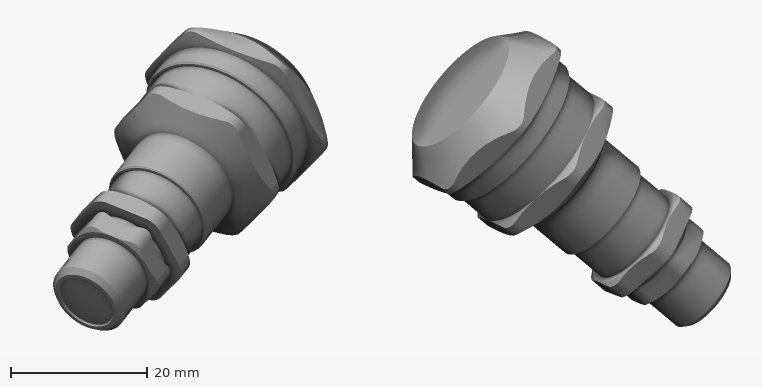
import cadquery as cq
import math


CAP_FLATS = 27.0
CAP_BACK_RADIUS = 10.2
CAP_BACK_ANGLE = 45.0
CAP_FRONT_ANGLE = 18.0
CAP_END = 6.7

COLLAR_DIAMETER = 25.5
COLLAR_END = 10.2
COLLAR_CHAMFER = 0.25
BARREL_DIAMETER = 24.0
BARREL_END = 15.75

BODY_HEX_FLATS = 24.0
BODY_HEX_END = 21.2

SLEEVE_DIAMETER = 16.6
SLEEVE_END = 29.1
SLEEVE_CHAMFER = 0.2
NECK_DIAMETER = 15.2

FLANGE_FLATS = 17.0
FLANGE_START = 35.5
FLANGE_END = 38.5

RING_TUBE_RADIUS = 0.8
RING_OUTER_RADIUS = 7.0

NUT_FLATS = 14.0
NUT_EDGE_ROUND = 2.2
NUT_SEAT_FLOOR = 39.95
NUT_SEAT_FLOOR_RADIUS = 6.8
NUT_SEAT_ANGLE = 47.0
NUT_END = 42.8

SPIGOT_DIAMETER = 12.0
SPIGOT_END = 50.53
SPIGOT_CHAMFER = 0.8
RECESS_MOUTH_RADIUS = 4.6
RECESS_FLOOR_RADIUS = 4.45
RECESS_DEPTH = 0.3

HEX_EDGE_ROUND = 3.0
HEX_CHAMFER_ANGLE = 30.0
TRIM_MARGIN = 0.5


def corner_radius(flats, edge_round):
    """Distance from the axis to a rounded corner of a hexagon."""
    sharp_corner = flats / math.sqrt(3)
    return sharp_corner - edge_round * (2 / math.sqrt(3) - 1)


def cone_drop(radial_run, angle):
    """Axial travel of a cone over a radial run; the angle is from the end plane."""
    return radial_run * math.tan(math.radians(angle))


def revolve_profile(points):
    """Revolve a closed (radius, station) outline about the Y axis."""
    outline = [(radius, -station) for radius, station in points]
    return cq.Workplane("XY").polyline(outline).close().revolve(360, (0, 0, 0), (0, 1, 0))


def cylinder(diameter, start, end, end_chamfer=0.0):
    """Coaxial cylinder, optionally chamfered on its tip-side edge."""
    body = cq.Workplane("XZ", origin=(0, -start, 0)).circle(diameter / 2).extrude(end - start)
    if end_chamfer > 0:
        body = body.faces("<Y").chamfer(end_chamfer)
    return body


def rounded_hexagon(flats, edge_round, rear_profile, front_profile):
    """Hexagonal prism, flats facing up and down, trimmed by end profiles.

    Each profile lists (radius, station) points from the axis out to the corner.
    """
    start = min(station for _, station in rear_profile)
    end = max(station for _, station in front_profile)
    prism = (
        cq.Workplane("XZ", origin=(0, -start, 0))
        .polygon(6, 2 * flats / math.sqrt(3))
        .extrude(end - start)
        .edges("|Y")
        .fillet(edge_round)
    )
    envelope = revolve_profile(rear_profile + front_profile[::-1])
    return prism.intersect(envelope)


def coned_end(station, face_radius, angle, flats, edge_round, toward_tip):
    """End profile: a flat face out to face_radius, then a cone past the corners."""
    outer_radius = corner_radius(flats, edge_round) + TRIM_MARGIN
    drop = cone_drop(outer_radius - face_radius, angle)
    outer_station = station - drop if toward_tip else station + drop
    return [(0, station), (face_radius, station), (outer_radius, outer_station)]


def flat_end(station, flats, edge_round):
    """End profile: a plain flat face reaching past the corners."""
    return [(0, station), (corner_radius(flats, edge_round) + TRIM_MARGIN, station)]


def make_cap():
    size = (CAP_FLATS, HEX_EDGE_ROUND)
    rear = coned_end(0, CAP_BACK_RADIUS, CAP_BACK_ANGLE, *size, toward_tip=False)
    front = coned_end(CAP_END, COLLAR_DIAMETER / 2, CAP_FRONT_ANGLE, *size, toward_tip=True)
    return rounded_hexagon(*size, rear, front)


def make_body_hexagon():
    size = (BODY_HEX_FLATS, HEX_EDGE_ROUND)
    rear = coned_end(BARREL_END, BARREL_DIAMETER / 2, HEX_CHAMFER_ANGLE, *size, toward_tip=False)
    front = coned_end(BODY_HEX_END, SLEEVE_DIAMETER / 2, HEX_CHAMFER_ANGLE, *size, toward_tip=True)
    return rounded_hexagon(*size, rear, front)


def make_flange():
    size = (FLANGE_FLATS, HEX_EDGE_ROUND)
    rear = coned_end(FLANGE_START, FLANGE_FLATS / 2, HEX_CHAMFER_ANGLE, *size, toward_tip=False)
    front = flat_end(FLANGE_END, *size)
    return rounded_hexagon(*size, rear, front)


def make_sealing_ring():
    """Round-edged ring resting on the flange, sunk into the nut's seat."""
    bore_radius = SPIGOT_DIAMETER / 2
    tube_centre_radius = RING_OUTER_RADIUS - RING_TUBE_RADIUS
    rear = -FLANGE_END
    middle = rear - RING_TUBE_RADIUS
    front = middle - RING_TUBE_RADIUS
    return (
        cq.Workplane("XY")
        .moveTo(bore_radius, rear)
        .lineTo(tube_centre_radius, rear)
        .threePointArc((RING_OUTER_RADIUS, middle), (tube_centre_radius, front))
        .lineTo(bore_radius, front)
        .close()
        .revolve(360, (0, 0, 0), (0, 1, 0))
    )


def make_lock_nut():
    """Hexagon whose rear face is dished, so its corners stand up around the ring."""
    size = (NUT_FLATS, NUT_EDGE_ROUND)
    corner = corner_radius(*size)
    rim = NUT_SEAT_FLOOR - cone_drop(corner - NUT_SEAT_FLOOR_RADIUS, NUT_SEAT_ANGLE)
    rear = [
        (0, NUT_SEAT_FLOOR),
        (NUT_SEAT_FLOOR_RADIUS, NUT_SEAT_FLOOR),
        (corner, rim),
        (corner + TRIM_MARGIN, rim),
    ]
    front = coned_end(NUT_END, NUT_FLATS / 2, HEX_CHAMFER_ANGLE, *size, toward_tip=True)
    return rounded_hexagon(*size, rear, front)


def make_end_recess():
    floor = SPIGOT_END - RECESS_DEPTH
    return revolve_profile([
        (0, floor),
        (RECESS_FLOOR_RADIUS, floor),
        (RECESS_MOUTH_RADIUS, SPIGOT_END),
        (0, SPIGOT_END),
    ])


sections = [
    make_cap(),
    cylinder(COLLAR_DIAMETER, CAP_END, COLLAR_END, COLLAR_CHAMFER),
    cylinder(BARREL_DIAMETER, COLLAR_END, BARREL_END),
    make_body_hexagon(),
    cylinder(SLEEVE_DIAMETER, BODY_HEX_END, SLEEVE_END, SLEEVE_CHAMFER),
    cylinder(NECK_DIAMETER, SLEEVE_END, FLANGE_START),
    make_flange(),
    cylinder(SPIGOT_DIAMETER, FLANGE_END, SPIGOT_END, SPIGOT_CHAMFER),
    make_sealing_ring(),
    make_lock_nut(),
]

result = sections[0]
for section in sections[1:]:
    result = result.union(section)
result = result.cut(make_end_recess())